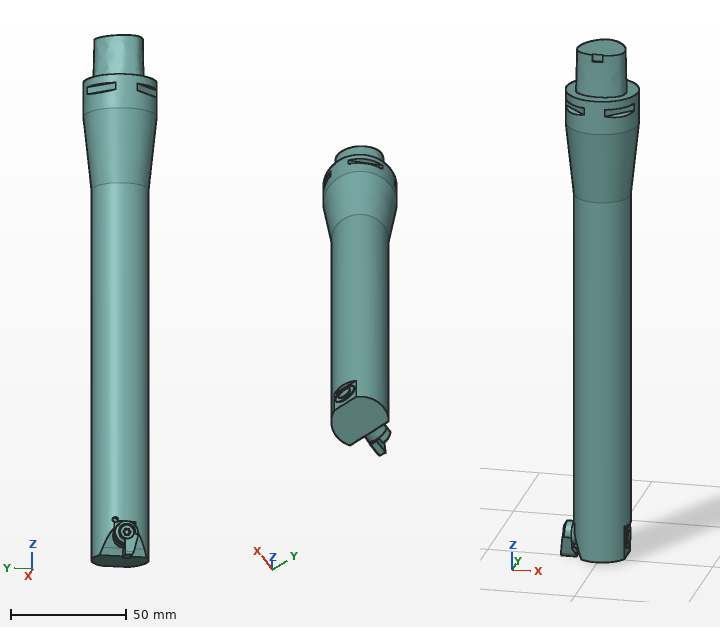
import cadquery as cq
import math


TOTAL_HEIGHT = 235.0
BAR_BOTTOM = 2.4
BAR_RADIUS = 25.0 / 2
CONE_BOTTOM = 168.3
FLANGE_BOTTOM = 201.0
FLANGE_TOP = 216.0
FLANGE_RADIUS = 32.0 / 2

SHANK_BASE_RADIUS = 11.0
SHANK_END_RADIUS = 10.5
LOBE_HEIGHT = 0.7
LOBE_COUNT = 3
OUTLINE_POINTS = 36
KEY_WIDTH = 4.7
KEY_HEIGHT = 3.0
KEY_FLOOR = 8.7

GROOVE_COUNT = 4
GROOVE_TOP = 212.2
GROOVE_FLAT_BOTTOM = 209.2
GROOVE_BOTTOM = 208.2
GROOVE_DEPTH = 1.9

SEAT_Z = 10.8
SEAT_RADIUS = 10.0 / 2
SEAT_FACE = -12.7
SLOPE_TOP_Z = 16.0
SLOPE_BREAK_X = -8.5
SLOPE_BREAK_Z = 5.6
SLOPE_FOOT_X = -7.0
POCKET_FLOOR = -11.3
POCKET_TOP = 16.7
POCKET_WIDTH = 9.5

OUTLET_RADIUS = 2.2 / 2
OUTLET_DEPTH = 2.4
OUTLET_Y = 4.2
OUTLET_Z = 17.5

FLAT_X = 11.0
FLAT_TOP = 17.2
PAD_BASE_FACE = 11.5
PAD_FACE = 12.0
PAD_RADIUS = 6.0 / 2

INSERT_FACE = -16.7
CHAMFER_DEPTH = 1.0
CHAMFER_WIDTH = 1.5
ARM_TOP = 10.0
ARM_LEFT = 1.0
FOOT_FRONT = -17.9
FOOT_BACK = -11.0
FOOT_TOP = 4.5
FOOT_CORNER_Z = 1.9
FOOT_CORNER_Y = -2.8
FOOT_BOTTOM = 0.5
FOOT_BOTTOM_Y = -2.0
TIP_X = -18.0
TIP_WIDTH = 0.5

SCREW_HEAD_RADIUS = 6.0 / 2
SCREW_HEAD_HEIGHT = 1.9
SCREW_SHAFT_RADIUS = 4.0 / 2
SCREW_LENGTH = 9.5
SOCKET_RADIUS = 2.2 / 2
SOCKET_DEPTH = 1.0
SOCKET_LOBES = 6
LOBE_RADIUS = 0.5


def x_cylinder(radius, x_start, x_end, y=0.0, z=SEAT_Z):
    """Cylinder along X between two X positions."""
    return cq.Workplane("YZ", origin=(x_start, y, z)).circle(radius).extrude(x_end - x_start)


def shank_outline(mean_radius):
    """Points of a constant-width curve with a lobe toward +Y."""
    points = []
    for i in range(OUTLINE_POINTS):
        angle = 2 * math.pi * i / OUTLINE_POINTS
        phase = LOBE_COUNT * (angle - math.pi / 2)
        reach = mean_radius + LOBE_HEIGHT * math.cos(phase)
        slope = -LOBE_COUNT * LOBE_HEIGHT * math.sin(phase)
        x = reach * math.cos(angle) - slope * math.sin(angle)
        y = reach * math.sin(angle) + slope * math.cos(angle)
        points.append((x, y))
    return points


def make_shank():
    shank = (
        cq.Workplane("XY", origin=(0, 0, FLANGE_TOP))
        .spline(shank_outline(SHANK_BASE_RADIUS), periodic=True).close()
        .workplane(offset=TOTAL_HEIGHT - FLANGE_TOP)
        .spline(shank_outline(SHANK_END_RADIUS), periodic=True).close()
        .loft(ruled=True)
    )
    keyway = cq.Workplane("XY").box(
        KEY_WIDTH, SHANK_BASE_RADIUS, KEY_HEIGHT, centered=(True, False, False)
    ).translate((0, -KEY_FLOOR - SHANK_BASE_RADIUS, TOTAL_HEIGHT - KEY_HEIGHT))
    return shank.cut(keyway)


def make_turned_bar():
    profile = [
        (0, BAR_BOTTOM),
        (BAR_RADIUS, BAR_BOTTOM),
        (BAR_RADIUS, CONE_BOTTOM),
        (FLANGE_RADIUS, FLANGE_BOTTOM),
        (FLANGE_RADIUS, FLANGE_TOP),
        (0, FLANGE_TOP),
    ]
    return cq.Workplane("XZ").polyline(profile).close().revolve(360, (0, 0, 0), (0, 1, 0))


def make_groove():
    """Straight groove with a flat roof and a sloped floor, cut into the +X side of the flange."""
    inner = FLANGE_RADIUS - GROOVE_DEPTH
    profile = [
        (inner, GROOVE_TOP),
        (FLANGE_RADIUS, GROOVE_TOP),
        (FLANGE_RADIUS, GROOVE_BOTTOM),
        (inner, GROOVE_FLAT_BOTTOM),
    ]
    return cq.Workplane("XZ").polyline(profile).close().extrude(FLANGE_RADIUS, both=True)


def make_seat_relief():
    """Two sloped planes that clear the bar end below the insert seat."""
    profile = [
        (-BAR_RADIUS, SLOPE_TOP_Z),
        (SLOPE_BREAK_X, SLOPE_BREAK_Z),
        (SLOPE_FOOT_X, BAR_BOTTOM),
        (-BAR_RADIUS, BAR_BOTTOM),
    ]
    return cq.Workplane("XZ").polyline(profile).close().extrude(BAR_RADIUS, both=True)


def make_seat_pocket():
    """Square-topped pocket behind the upper half of the insert."""
    return cq.Workplane("XY").box(
        BAR_RADIUS + POCKET_FLOOR, POCKET_WIDTH, POCKET_TOP - SEAT_Z, centered=(False, True, False)
    ).translate((-BAR_RADIUS, 0, SEAT_Z))


def make_flat():
    """Material taken off the +X side around the stepped pad."""
    width = 2 * BAR_RADIUS
    depth = BAR_RADIUS - FLAT_X
    slab = cq.Workplane("XY").box(
        depth, width, FLAT_TOP - BAR_BOTTOM, centered=(False, True, False)
    ).translate((FLAT_X, 0, BAR_BOTTOM))
    pad = x_cylinder(SEAT_RADIUS, FLAT_X, PAD_BASE_FACE).union(x_cylinder(PAD_RADIUS, FLAT_X, PAD_FACE))
    return slab.cut(pad)


def make_bar():
    bar = make_turned_bar().union(make_shank())
    for i in range(GROOVE_COUNT):
        angle = 360 / GROOVE_COUNT * (i + 0.5)
        bar = bar.cut(make_groove().rotate((0, 0, 0), (0, 0, 1), angle))
    bar = bar.cut(make_seat_relief()).cut(make_seat_pocket()).cut(make_flat())
    bar = bar.union(x_cylinder(SEAT_RADIUS, SEAT_FACE, SLOPE_BREAK_X))
    outlet = x_cylinder(OUTLET_RADIUS, -BAR_RADIUS, OUTLET_DEPTH - BAR_RADIUS, OUTLET_Y, OUTLET_Z)
    screw_hole = x_cylinder(SCREW_SHAFT_RADIUS, SEAT_FACE, INSERT_FACE + SCREW_LENGTH)
    return bar.cut(outlet).cut(screw_hole)


def make_insert():
    head = x_cylinder(SEAT_RADIUS, INSERT_FACE, SEAT_FACE)
    head = head.faces("<X").edges().chamfer(CHAMFER_DEPTH, CHAMFER_WIDTH)
    side = [
        (INSERT_FACE, ARM_TOP),
        (FOOT_FRONT, FOOT_CORNER_Z),
        (FOOT_FRONT, FOOT_BOTTOM),
        (TIP_X, 0),
        (FOOT_FRONT + TIP_WIDTH, FOOT_BOTTOM),
        (FOOT_BACK, FOOT_BOTTOM),
        (FOOT_BACK, FOOT_CORNER_Z),
        (SEAT_FACE, FOOT_TOP),
        (SEAT_FACE, ARM_TOP),
    ]
    blade = [
        (ARM_LEFT, ARM_TOP),
        (ARM_LEFT, 0),
        (ARM_LEFT - TIP_WIDTH, FOOT_BOTTOM),
        (FOOT_BOTTOM_Y, FOOT_BOTTOM),
        (FOOT_CORNER_Y, FOOT_CORNER_Z),
        (-SEAT_RADIUS, ARM_TOP),
    ]
    arm = cq.Workplane("XZ").polyline(side).close().extrude(BAR_RADIUS, both=True)
    arm = arm.intersect(
        cq.Workplane("YZ", origin=(TIP_X, 0, 0)).polyline(blade).close().extrude(FOOT_BACK - TIP_X)
    )
    head_recess = x_cylinder(SCREW_HEAD_RADIUS, TIP_X, INSERT_FACE + SCREW_HEAD_HEIGHT)
    shaft_hole = x_cylinder(SCREW_SHAFT_RADIUS, INSERT_FACE, SEAT_FACE)
    return head.union(arm).cut(head_recess).cut(shaft_hole)


def make_screw():
    head = x_cylinder(SCREW_HEAD_RADIUS, INSERT_FACE, INSERT_FACE + SCREW_HEAD_HEIGHT)
    screw = head.union(x_cylinder(SCREW_SHAFT_RADIUS, INSERT_FACE, INSERT_FACE + SCREW_LENGTH))
    floor = INSERT_FACE + SOCKET_DEPTH
    screw = screw.cut(x_cylinder(SOCKET_RADIUS, INSERT_FACE, floor))
    for i in range(SOCKET_LOBES):
        angle = 2 * math.pi * i / SOCKET_LOBES
        y = SOCKET_RADIUS * math.cos(angle)
        z = SEAT_Z + SOCKET_RADIUS * math.sin(angle)
        screw = screw.cut(x_cylinder(LOBE_RADIUS, INSERT_FACE, floor, y, z))
    return screw


bar = make_bar()
insert = make_insert()
screw = make_screw()
result = cq.Compound.makeCompound([body.solids().val() for body in (bar, insert, screw)])